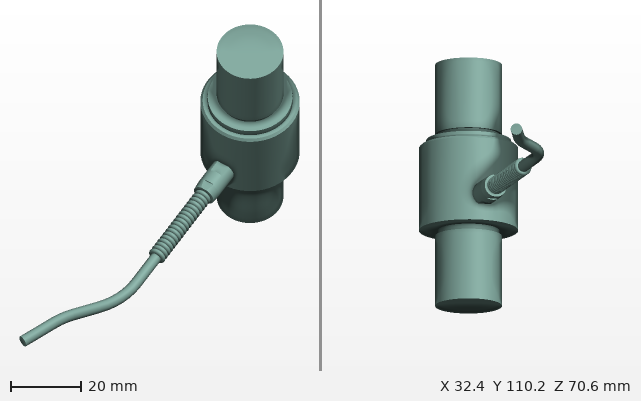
import cadquery as cq
import math

overall_length = 110.2

stud_diameter = 19.1
stud_length = 20.4
neck_diameter = 17.5
neck_length = 1.7
body_diameter = 28.3
body_height = 24.7
body_chamfer = 0.7
collar_diameter = 24.1
collar_height = 1.7
collar_groove_diameter = 24.6
collar_groove_depth = 0.7

connector_height_on_body = 7.6
connector_neck_diameter = 4.8
connector_neck_embedding = 1.1
connector_diameter = 7.0
connector_tip_diameter = 6.5
connector_start = 14.4
connector_taper_start = 22.4
connector_end = 24.9
wrench_flat_width = 6.0
wrench_flat_length = 3.7
tip_flat_width = 6.3
tip_flat_start = 22.1

rib_diameter = 5.2
rib_valley_diameter = 4.1
rib_count = 18
sleeve_end = 50.6
rib_pitch = (sleeve_end - connector_end) / rib_count

cable_diameter = 3.3
bend_start = 61.1
bend_radius = 20.0
middle_heading = 39
final_heading = 22
middle_straight = 8.0
cable_droop = 1.2

body_bottom = stud_length + neck_length
body_top = body_bottom + body_height
collar_top = body_top + collar_height
connector_z = body_bottom + connector_height_on_body


def cylinder(diameter, bottom, height):
    return cq.Workplane("XY").workplane(offset=bottom).circle(diameter / 2).extrude(height)


def make_column():
    body = cylinder(body_diameter, body_bottom, body_height).faces(">Z").edges().chamfer(body_chamfer)
    groove = (
        cq.Workplane("XY")
        .workplane(offset=body_top - collar_groove_depth)
        .circle(collar_groove_diameter / 2)
        .circle(collar_diameter / 2)
        .extrude(collar_groove_depth)
    )
    upper_stud_bottom = collar_top + neck_length
    return (
        body.cut(groove)
        .union(cylinder(collar_diameter, body_top, collar_height))
        .union(cylinder(stud_diameter, 0, stud_length))
        .union(cylinder(neck_diameter, stud_length, neck_length))
        .union(cylinder(neck_diameter, collar_top, neck_length))
        .union(cylinder(stud_diameter, upper_stud_bottom, stud_length))
    )


def cut_flat_pair(solid, flat_width, start, end):
    """Cut parallel flats, facing +Z and -Z, between two distances along -Y."""
    length = end - start
    for side in (1, -1):
        block = cq.Workplane("XY").box(connector_diameter, length, connector_diameter)
        block_z = side * (flat_width + connector_diameter) / 2
        solid = solid.cut(block.translate((0, -(start + end) / 2, block_z)))
    return solid


def make_connector():
    root = body_diameter / 2 - connector_neck_embedding
    profile = (
        cq.Workplane("XY")
        .moveTo(0, -root)
        .lineTo(connector_neck_diameter / 2, -root)
        .lineTo(connector_neck_diameter / 2, -connector_start)
        .lineTo(connector_diameter / 2, -connector_start)
        .lineTo(connector_diameter / 2, -connector_taper_start)
        .lineTo(connector_tip_diameter / 2, -connector_end)
        .lineTo(0, -connector_end)
        .close()
    )
    connector = profile.revolve(360, (0, 0), (0, 1))
    connector = cut_flat_pair(
        connector, wrench_flat_width, connector_start, connector_start + wrench_flat_length
    )
    return cut_flat_pair(connector, tip_flat_width, tip_flat_start, connector_end)


def make_sleeve():
    profile = cq.Workplane("XY").moveTo(0, -connector_end).lineTo(rib_valley_diameter / 2, -connector_end)
    for i in range(rib_count):
        rib_start = connector_end + i * rib_pitch
        profile = profile.threePointArc(
            (rib_diameter / 2, -rib_start - rib_pitch / 2),
            (rib_valley_diameter / 2, -rib_start - rib_pitch),
        )
    return profile.lineTo(0, -sleeve_end).close().revolve(360, (0, 0), (0, 1))


def bend_chord(turn):
    """Straight distance between the ends of a bend that turns by the given degrees."""
    return 2 * bend_radius * math.sin(math.radians(turn / 2))


def direction(heading):
    """Unit vector for a heading in degrees, measured from -Y towards -X."""
    angle = math.radians(heading)
    return cq.Vector(-math.sin(angle), -math.cos(angle), 0)


def make_cable():
    chord_1 = bend_chord(middle_heading)
    chord_2 = bend_chord(middle_heading - final_heading)
    bend_1_start = cq.Vector(0, -bend_start, 0)
    bend_1_end = bend_1_start + direction(middle_heading / 2) * chord_1
    bend_2_start = bend_1_end + direction(middle_heading) * middle_straight
    bend_2_end = bend_2_start + direction((middle_heading + final_heading) / 2) * chord_2
    corner_drop = cable_diameter / 2 * math.sin(math.radians(final_heading))
    final_reach = overall_length - body_diameter / 2 + bend_2_end.y - corner_drop
    final_straight = final_reach / math.cos(math.radians(final_heading))
    cable_end = bend_2_end + direction(final_heading) * final_straight
    path = (
        cq.Workplane("XY")
        .moveTo(0, -connector_end)
        .lineTo(0, -bend_start)
        .tangentArcPoint(bend_1_end, relative=False)
        .lineTo(bend_2_start.x, bend_2_start.y)
        .tangentArcPoint(bend_2_end, relative=False)
        .lineTo(cable_end.x, cable_end.y)
    )
    section = cq.Workplane("XZ", origin=(0, -connector_end, 0)).circle(cable_diameter / 2)
    return section.sweep(path).rotate((0, 0, 0), (0, 1, 0), -cable_droop)


lead = make_connector().union(make_sleeve()).union(make_cable())
result = make_column().union(lead.translate((0, 0, connector_z)))